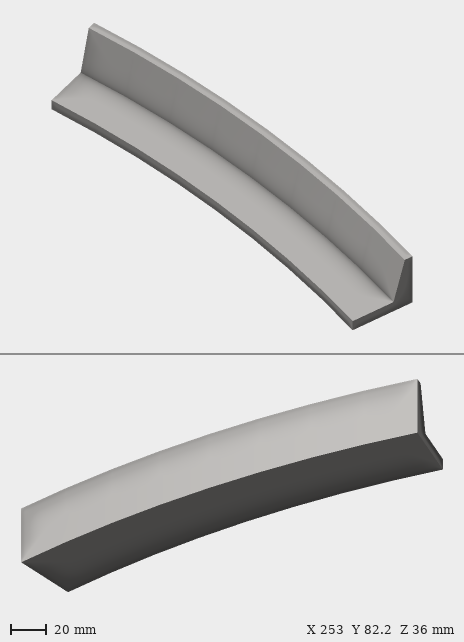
import cadquery as cq
import math

length = 253.0
sweep_angle = 20.0
height = 36.0
flange_width = 40.0
flange_thickness = 7.0
wall_top_thickness = 5.0
wall_root_thickness = 12.7

outer_radius = length / math.sin(math.radians(sweep_angle))
inner_radius = outer_radius - flange_width
wall_top_radius = outer_radius - wall_top_thickness
wall_root_radius = outer_radius - wall_root_thickness

section = (
    cq.Workplane("YZ")
    .moveTo(inner_radius, 0)
    .lineTo(outer_radius, 0)
    .lineTo(outer_radius, height)
    .lineTo(wall_top_radius, height)
    .lineTo(wall_root_radius, flange_thickness)
    .lineTo(inner_radius, flange_thickness)
    .close()
)

result = section.revolve(sweep_angle, (0, 0, 0), (0, -1, 0))